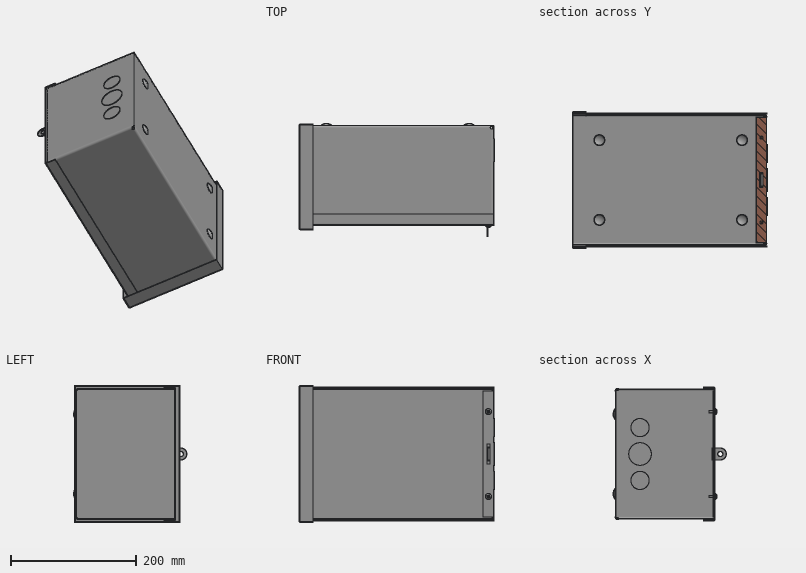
import cadquery as cq


sheet = 1.5
knockout_rise = 1.0
cap_left = -156.0
end_right = 156.0 - knockout_rise
cap_length = 22.5
cap_height = 219.0
cap_front = -79.5
cap_back = 89.2
cap_bend = 2.8
cap_side_bend = 1.5

cover_height = 213.5
cover_front = -72.5
cover_flange = 18.0
cover_bend = 2.5

tub_back = 87.0
tub_gap = 0.5
tub_bend = 4.0
tub_corner = 2.0
relief_diameter = 3.7
tub_lip = 17.0

dome_tip = 90.5
dome_diameter = 17.5
dome_left = -112.3
dome_right = 115.5
dome_spacing_z = 127.3

knockout_y = 47.5
center_knockout_diameter = 36.2
side_knockout_diameter = 29.0
knockout_pitch = 42.0

screw_inset = 8.7
screw_spacing_z = 135.5
head_diameter = 9.7
head_height = 3.5
shank_diameter = 3.7
shank_length = 9.5
recess_length = 4.7
recess_width = 1.2
recess_depth = 2.0
recess_turn = 20.0

hasp_thickness = 1.5
hasp_tip = -90.5
hasp_width = 19.3
hasp_hole_diameter = 7.8
hasp_inset = 10.0
hasp_foot = 6.2
slot_width = 5.0
slot_height = 32.5
lip_slot_height = 22.5

cap_inner_left = cap_left + sheet
tub_height = cover_height - 2 * (sheet + tub_gap)
tub_front = cover_front + sheet
lip_back = tub_front + sheet
screw_x = end_right - screw_inset
screw_places = [-screw_spacing_z / 2, screw_spacing_z / 2]
hasp_left = end_right - hasp_inset - hasp_thickness / 2
slot_left = screw_x - slot_width / 2
slot_right = screw_x + slot_width / 2


def block(x0, x1, y0, y1, height):
    """Box between two X and two Y positions, centred on Z = 0."""
    return (
        cq.Workplane("XY")
        .box(x1 - x0, y1 - y0, height, centered=(False, False, True))
        .translate((x0, y0, 0))
    )


def front_rod(diameter, x, z, y0, y1):
    """Cylinder along Y from y0 to y1."""
    return cq.Workplane("XZ", origin=(x, y0, z)).circle(diameter / 2).extrude(y0 - y1)


def make_cap():
    """Drip cap: closed end plate with four flanges."""
    outer = block(cap_left, cap_left + cap_length, cap_front, cap_back, cap_height)
    outer = outer.faces("<X").edges().fillet(cap_bend).edges("|X").fillet(cap_side_bend)
    inner = block(
        cap_inner_left, cap_left + cap_length,
        cap_front + sheet, cap_back - sheet, cap_height - 2 * sheet,
    )
    return outer.cut(inner)


def dome(offset):
    """Spherical cap on the back wall, shrunk by offset."""
    rise = dome_tip - tub_back
    radius = ((dome_diameter / 2) ** 2 + rise**2) / (2 * rise)
    center_y = dome_tip - radius
    ball = cq.Workplane("XY").sphere(radius - offset).translate((0, center_y, 0))
    behind = block(-radius, radius, tub_back - offset, dome_tip, 2 * radius)
    return ball.intersect(behind)


def make_tub():
    """Box with back, upper, lower and end walls, open at the cap and at the front."""
    outer = block(cap_inner_left, end_right, tub_front, tub_back, tub_height)
    outer = outer.edges("(>Y or >X) and (>Z or <Z)").fillet(tub_bend)
    rounded = block(cap_inner_left, end_right, tub_front, tub_back, tub_height)
    outer = outer.intersect(rounded.edges("|Z and >X and >Y").fillet(tub_corner))
    inner = block(
        cap_inner_left, end_right - sheet, tub_front, tub_back - sheet, tub_height - 2 * sheet
    )
    inner = inner.edges("(>Y or >X) and (>Z or <Z)").fillet(tub_bend - sheet)
    tub = outer.cut(inner)

    lip = block(end_right - tub_lip, end_right - sheet, tub_front, lip_back, tub_height - 2 * tub_bend)
    tub = tub.union(lip)

    relief_x = end_right - tub_bend / 2 - sheet
    relief_y = tub_back - tub_bend / 2 - sheet
    relief = cq.Workplane("XY").circle(relief_diameter / 2).extrude(tub_height / 2, both=True)
    tub = tub.cut(relief.translate((relief_x, relief_y, 0)))

    for x in (dome_left, dome_right):
        for z in (-dome_spacing_z / 2, dome_spacing_z / 2):
            tub = tub.union(dome(0).translate((x, 0, z)))
            tub = tub.cut(dome(sheet).translate((x, 0, z)))

    knockouts = [
        (0, center_knockout_diameter),
        (-knockout_pitch, side_knockout_diameter),
        (knockout_pitch, side_knockout_diameter),
    ]
    for z, diameter in knockouts:
        disc = cq.Workplane("YZ", origin=(end_right, knockout_y, z)).circle(diameter / 2)
        tub = tub.union(disc.extrude(knockout_rise))

    for z in screw_places:
        tub = tub.cut(front_rod(shank_diameter, screw_x, z, tub_front, lip_back))
    return tub.cut(block(slot_left, slot_right, tub_front, lip_back, lip_slot_height))


def make_cover():
    """Front cover: flat sheet with an upper and a lower flange, and a slot for the hasp."""
    flange_back = cover_front + cover_flange
    outer = block(cap_inner_left, end_right, cover_front, flange_back, cover_height)
    outer = outer.faces("<Y").edges("|X").fillet(cover_bend)
    cover = outer.cut(block(cap_inner_left, end_right, tub_front, flange_back, cover_height - 2 * sheet))
    for z in screw_places:
        cover = cover.cut(front_rod(shank_diameter, screw_x, z, cover_front, tub_front))
    return cover.cut(block(slot_left, slot_right, cover_front, tub_front, slot_height))


def make_screw(z):
    """Domed screw with a cross recess."""
    head_radius = head_diameter / 2
    ball_radius = (head_radius**2 + head_height**2) / (2 * head_height)
    head_tip = cover_front - head_height
    head = cq.Workplane("XY").sphere(ball_radius).translate((0, head_tip + ball_radius, 0))
    head = head.intersect(block(-ball_radius, ball_radius, head_tip, cover_front, 2 * ball_radius))
    screw = head.union(front_rod(shank_diameter, 0, 0, cover_front, cover_front + shank_length))
    blade = block(
        -recess_length / 2, recess_length / 2, head_tip, head_tip + recess_depth, recess_width
    )
    for turn in (recess_turn, recess_turn + 90):
        screw = screw.cut(blade.rotate((0, 0, 0), (0, 1, 0), turn))
    return screw.translate((screw_x, 0, z))


def make_hasp():
    """Padlock hasp: round-ended plate through the slot, with a foot behind the tub lip."""
    radius = hasp_width / 2
    center_y = hasp_tip + radius
    foot_back = lip_back + hasp_thickness
    plate = (
        cq.Workplane("YZ", origin=(hasp_left, 0, 0))
        .moveTo(foot_back, -radius)
        .lineTo(center_y, -radius)
        .threePointArc((hasp_tip, 0), (center_y, radius))
        .lineTo(foot_back, radius)
        .close()
        .extrude(hasp_thickness)
    )
    hole = cq.Workplane("YZ", origin=(hasp_left, center_y, 0)).circle(hasp_hole_diameter / 2)
    foot_left = hasp_left + hasp_thickness
    foot = block(foot_left, foot_left + hasp_foot, lip_back, foot_back, hasp_width)
    return plate.cut(hole.extrude(hasp_thickness)).union(foot)


cap = make_cap()
tub = make_tub()
cover = make_cover()
hasp = make_hasp()
screws = [make_screw(z) for z in screw_places]

result = cq.Compound.makeCompound(
    [cap.val(), tub.val(), cover.val(), hasp.val(), *[screw.val() for screw in screws]]
)